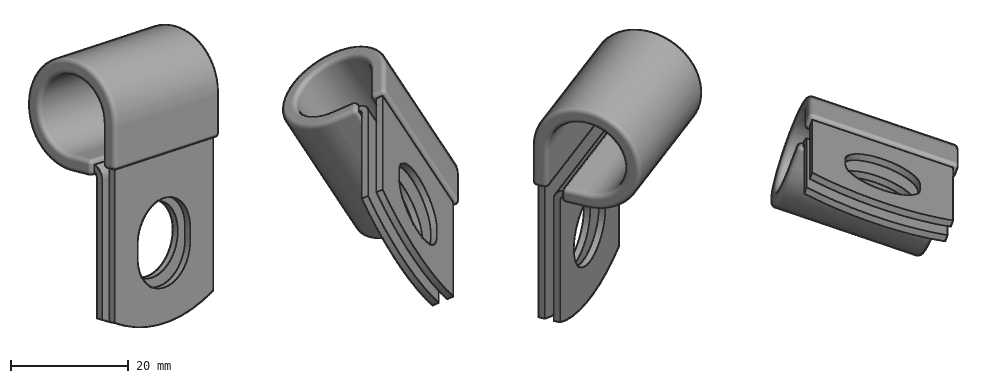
import cadquery as cq
import math


bore_radius = 7.144
strap_thickness = 1.2
cushion_wall = 0.8
strap_width = 25.4
long_arm_length = 7.944
short_arm_length = 4.544
leg_gap = 1.6
bend_inner_radius = 1.2
leg_end_depth = 38.075
leg_end_radius = 28.575
hole_diameter = 13.494
slot_length = 15.875
hole_depth = 23.8

strap_inner_radius = bore_radius + cushion_wall
strap_outer_radius = strap_inner_radius + strap_thickness
cushion_outer_radius = strap_outer_radius + cushion_wall
cushion_width = strap_width + 2 * cushion_wall
bent_leg_outer_x = strap_inner_radius - leg_gap
bent_leg_inner_x = bent_leg_outer_x - strap_thickness
bend_outer_radius = bend_inner_radius + strap_thickness
bend_center_x = bent_leg_inner_x - bend_inner_radius
bend_center_z = -strap_outer_radius - bend_inner_radius
between_legs_x = bent_leg_outer_x + leg_gap / 2
diagonal = math.sqrt(0.5)


def loop_mid_point(radius):
    """Middle of the three-quarter turn from +X over the top to -Z."""
    return (-radius * diagonal, radius * diagonal)


def bend_mid_point(radius):
    """Middle of the quarter-turn bend from the short arm into its leg."""
    return (bend_center_x + radius * diagonal, bend_center_z + radius * diagonal)


def make_cushion():
    """Coating of the loop and its two straight arms, rounded on every free edge."""
    band = (
        cq.Workplane("XZ")
        .moveTo(cushion_outer_radius, -long_arm_length)
        .lineTo(cushion_outer_radius, 0)
        .threePointArc(loop_mid_point(cushion_outer_radius), (0, -cushion_outer_radius))
        .lineTo(short_arm_length, -cushion_outer_radius)
        .lineTo(short_arm_length, -bore_radius)
        .lineTo(0, -bore_radius)
        .threePointArc(loop_mid_point(bore_radius), (bore_radius, 0))
        .lineTo(bore_radius, -long_arm_length)
        .close()
        .extrude(cushion_width / 2, both=True)
    )
    side_edges = band.faces("<Y or >Y").edges()
    mid_wall_radius = (bore_radius + cushion_outer_radius) / 2
    long_arm_end = cq.NearestToPointSelector((mid_wall_radius, 0, -long_arm_length))
    short_arm_end = cq.NearestToPointSelector((short_arm_length, 0, -mid_wall_radius))
    end_edges = band.faces(long_arm_end + short_arm_end).edges("|Y")
    return side_edges.add(end_edges).fillet(cushion_wall)


def make_bent_strap():
    """Constant-thickness strap: straight leg, loop, short arm, bend and bent leg."""
    return (
        cq.Workplane("XZ")
        .moveTo(strap_outer_radius, -leg_end_depth)
        .lineTo(strap_outer_radius, 0)
        .threePointArc(loop_mid_point(strap_outer_radius), (0, -strap_outer_radius))
        .lineTo(bend_center_x, -strap_outer_radius)
        .threePointArc(bend_mid_point(bend_inner_radius), (bent_leg_inner_x, bend_center_z))
        .lineTo(bent_leg_inner_x, -leg_end_depth)
        .lineTo(bent_leg_outer_x, -leg_end_depth)
        .lineTo(bent_leg_outer_x, bend_center_z)
        .threePointArc(bend_mid_point(bend_outer_radius), (bend_center_x, -strap_inner_radius))
        .lineTo(0, -strap_inner_radius)
        .threePointArc(loop_mid_point(strap_inner_radius), (strap_inner_radius, 0))
        .lineTo(strap_inner_radius, -leg_end_depth)
        .close()
        .extrude(strap_width / 2, both=True)
    )


def make_leg_end_trim():
    """Strap silhouette seen along X: straight sides and one wide arc at the bottom."""
    half_width = strap_width / 2
    arc_rise = leg_end_radius - math.sqrt(leg_end_radius**2 - half_width**2)
    corner_z = arc_rise - leg_end_depth
    return (
        cq.Workplane("YZ")
        .moveTo(-half_width, cushion_outer_radius)
        .lineTo(-half_width, corner_z)
        .threePointArc((0, -leg_end_depth), (half_width, corner_z))
        .lineTo(half_width, cushion_outer_radius)
        .close()
        .extrude(cushion_outer_radius, both=True)
    )


def make_bolt_hole():
    """Cutter along X for the round hole in the bent leg."""
    return (
        cq.Workplane("YZ")
        .center(0, -hole_depth)
        .circle(hole_diameter / 2)
        .extrude(between_legs_x)
    )


def make_bolt_slot():
    """Cutter along X for the upright slot in the straight leg."""
    return (
        cq.Workplane("YZ", origin=(between_legs_x, 0, 0))
        .center(0, -hole_depth)
        .slot2D(slot_length, hole_diameter, angle=90)
        .extrude(cushion_outer_radius - between_legs_x)
    )


trimmed_strap = make_bent_strap().intersect(make_leg_end_trim())
strap = trimmed_strap.cut(make_bolt_hole()).cut(make_bolt_slot())
result = make_cushion().union(strap)